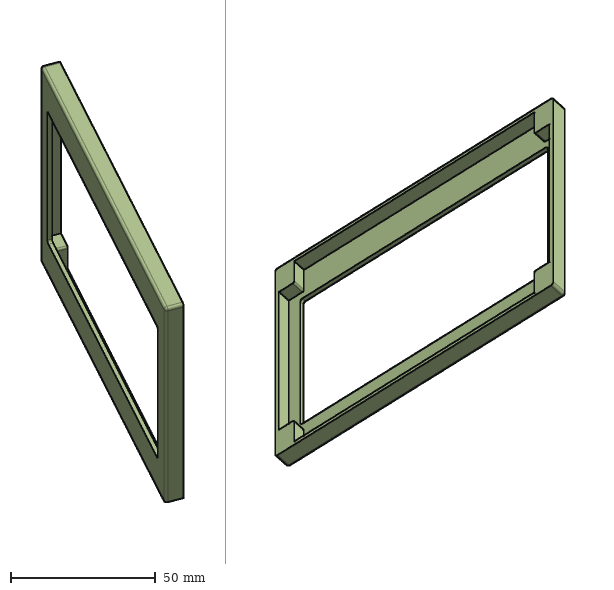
import cadquery as cq

WIDTH = 125.0
DEPTH = 7.0
HEIGHT = 97.0
EDGE_RADIUS = 1.2
FACE_THICKNESS = 1.8
WALL_THICKNESS = 1.8
INNER_WIDTH = WIDTH - 2 * WALL_THICKNESS
INNER_HEIGHT = HEIGHT - 2 * WALL_THICKNESS

WINDOW_WIDTH = 111.0
WINDOW_HEIGHT = 65.0
WINDOW_CORNER_RADIUS = 1.0

POST_WIDTH = 6.9
POST_HEIGHT = 11.0
POST_CORNER_RADIUS = 0.8


def box_between(width, height, front, back):
    """Box centred on X and Z, spanning front to back along Y."""
    return cq.Workplane("XY").box(width, back - front, height).translate((0, (front + back) / 2, 0))


def outer_body():
    """Solid block with every edge rounded except those around the back."""
    body = box_between(WIDTH, HEIGHT, 0, DEPTH)
    return body.edges("<Y or |Y").fillet(EDGE_RADIUS)


def cavity():
    """Hollow behind the front face, open at the back."""
    return box_between(INNER_WIDTH, INNER_HEIGHT, FACE_THICKNESS, DEPTH)


def window():
    """Opening through the front face with small rounded corners."""
    opening = box_between(WINDOW_WIDTH, WINDOW_HEIGHT, 0, DEPTH)
    return opening.edges("|Y").fillet(WINDOW_CORNER_RADIUS)


def corner_post(side_x, side_z):
    """Post in the cavity corner picked by the two signs, rounded towards the window."""
    post = box_between(POST_WIDTH, POST_HEIGHT, FACE_THICKNESS, DEPTH)
    window_side_x = "<X" if side_x > 0 else ">X"
    window_side_z = "<Z" if side_z > 0 else ">Z"
    window_edge = post.edges("|Y").edges(window_side_x).edges(window_side_z)
    post = window_edge.fillet(POST_CORNER_RADIUS)
    centre_x = side_x * (INNER_WIDTH - POST_WIDTH) / 2
    centre_z = side_z * (INNER_HEIGHT - POST_HEIGHT) / 2
    return post.translate((centre_x, 0, centre_z))


result = outer_body().cut(cavity()).cut(window())
for side_x in (-1, 1):
    for side_z in (-1, 1):
        result = result.union(corner_post(side_x, side_z))